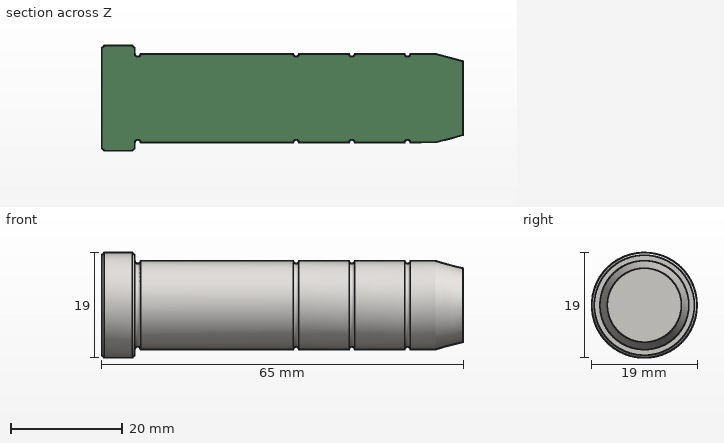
import cadquery as cq
import math

groove_radius = 0.5
groove_count = 3
groove_pitch = 10.0
first_groove_distance = 35.0

undercut_distance = 6.5

length = 65.0
head_diameter = 19.0
head_length = undercut_distance - groove_radius
head_chamfer = 0.5
shank_diameter = 16.0
shank_radius = shank_diameter / 2

taper_length = 5.0
taper_angle = 15.0
taper_drop = taper_length * math.tan(math.radians(taper_angle))

head_start = -length / 2
head_end = head_start + head_length
tip = length / 2


def make_head():
    """Disc with both rims chamfered."""
    return (
        cq.Workplane("YZ", origin=(head_start, 0, 0))
        .circle(head_diameter / 2)
        .extrude(head_length)
        .edges()
        .chamfer(head_chamfer)
    )


def make_shank():
    """Cylinder with a tapered tip, revolved about X."""
    return (
        cq.Workplane("XY")
        .moveTo(head_end, 0)
        .lineTo(head_end, shank_radius)
        .lineTo(tip - taper_length, shank_radius)
        .lineTo(tip, shank_radius - taper_drop)
        .lineTo(tip, 0)
        .close()
        .revolve(360, (0, 0, 0), (1, 0, 0))
    )


def make_groove_cutter(distance):
    """Ring of round section, centred on the shank surface."""
    ring_position = cq.Vector(head_start + distance, 0, 0)
    axis_direction = cq.Vector(1, 0, 0)
    ring = cq.Solid.makeTorus(shank_radius, groove_radius, ring_position, axis_direction)
    return cq.Workplane(ring)


shank = make_shank().cut(make_groove_cutter(undercut_distance))
for index in range(groove_count):
    shank = shank.cut(make_groove_cutter(first_groove_distance + index * groove_pitch))

result = make_head().union(shank)